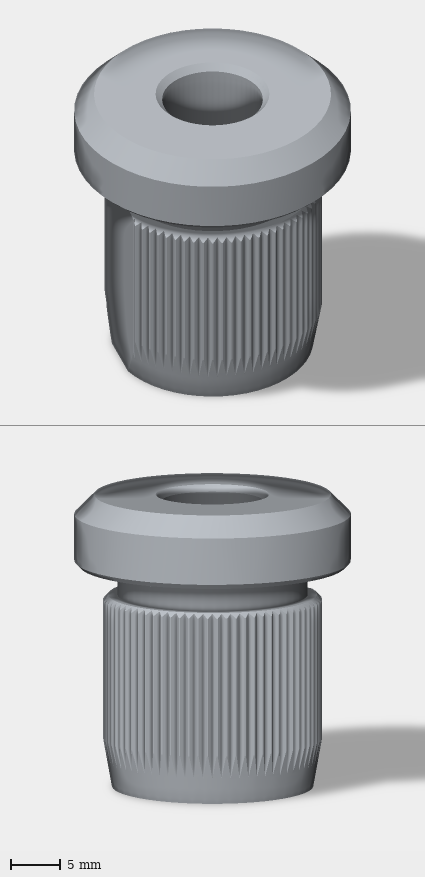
import cadquery as cq
import math

height = 30.0

head_radius = 14.0
head_thickness = 7.3
head_top_chamfer = 2.0
head_bottom_chamfer = 0.5

neck_radius = 9.63
neck_length = 3.0

crest_radius = 11.1
root_radius = 10.68
base_radius = 10.2
taper_height = 5.0
shank_top_chamfer = 0.5
tooth_count = 72

flat_distance = 9.85

bore_radius = 5.1
mouth_radius = 5.75

head_bottom = height - head_thickness
shank_top = head_bottom - neck_length


def revolve_profile(profile):
    """Spin a closed (radius, height) outline about the Z axis."""
    return cq.Workplane("XZ").polyline(profile).close().revolve(360, (0, 0), (0, 1))


def make_head():
    """Disc with a wide bevel on top and a small one underneath."""
    head = cq.Workplane("XY", origin=(0, 0, head_bottom)).circle(head_radius).extrude(head_thickness)
    return head.faces(">Z").chamfer(head_top_chamfer).faces("<Z").chamfer(head_bottom_chamfer)


def make_neck():
    """Plain cylinder reaching from the base up to the head."""
    return cq.Workplane("XY").circle(neck_radius).extrude(head_bottom)


def make_shank_envelope():
    """Turned blank: tapered lead-in, straight barrel and top chamfer."""
    profile = [
        (0, 0),
        (base_radius, 0),
        (crest_radius, taper_height),
        (crest_radius, shank_top - shank_top_chamfer),
        (crest_radius - shank_top_chamfer, shank_top),
        (0, shank_top),
    ]
    return revolve_profile(profile)


def on_circle(radius, angle):
    """Point at a polar position about the part axis."""
    return (radius * math.cos(angle), radius * math.sin(angle))


def make_knurl_prism():
    """Straight toothed prism: 90 degree V grooves between narrow round crests, one root on the X axis."""
    pitch = 2 * math.pi / tooth_count
    groove_depth = crest_radius - root_radius
    groove_half_angle = math.atan(groove_depth / crest_radius)
    outline = cq.Workplane("XY").moveTo(root_radius, 0)
    for index in range(tooth_count):
        root_angle = index * pitch
        next_root_angle = root_angle + pitch
        crest_start = on_circle(crest_radius, root_angle + groove_half_angle)
        crest_middle = on_circle(crest_radius, root_angle + pitch / 2)
        crest_end = on_circle(crest_radius, next_root_angle - groove_half_angle)
        outline = outline.lineTo(*crest_start).threePointArc(crest_middle, crest_end)
        if index < tooth_count - 1:
            outline = outline.lineTo(*on_circle(root_radius, next_root_angle))
    return outline.close().extrude(shank_top)


def make_shank():
    """Knurled shank with the flat milled along its full length."""
    shank = make_shank_envelope().intersect(make_knurl_prism())
    width = 2 * crest_radius
    flat_cutter = cq.Workplane("XY").box(width, width, shank_top, centered=(True, False, False))
    return shank.cut(flat_cutter.translate((0, -flat_distance - width, 0)))


def make_bore():
    """Through hole with a 45 degree countersink at the top."""
    mouth_depth = mouth_radius - bore_radius
    profile = [
        (0, 0),
        (bore_radius, 0),
        (bore_radius, height - mouth_depth),
        (mouth_radius, height),
        (0, height),
    ]
    return revolve_profile(profile)


result = make_shank().union(make_neck()).union(make_head()).cut(make_bore())